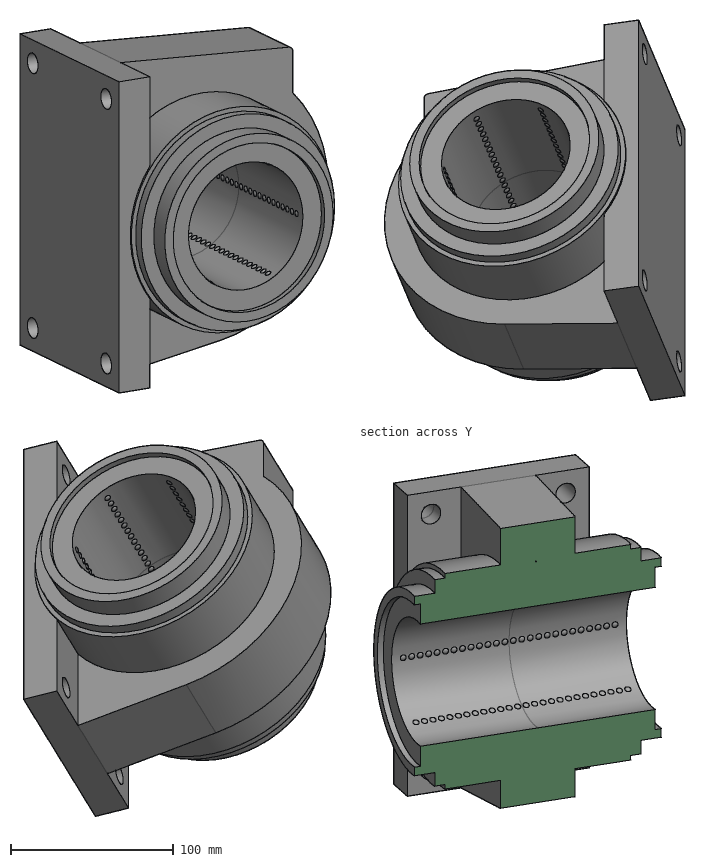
import cadquery as cq
import math

PLATE_HEIGHT = 200.0
PLATE_WIDTH = 121.5
PLATE_THICKNESS = 22.0
BOLT_SPACING_X = 90.0
BOLT_SPACING_Z = 170.0
BOLT_DIAMETER = 13.0

AXIS_TO_MOUNTING_FACE = 80.0
MOUNTING_FACE_Y = -AXIS_TO_MOUNTING_FACE
PLATE_BACK_Y = MOUNTING_FACE_Y + PLATE_THICKNESS

WEB_WIDTH = 50.0
WEB_RADIUS = 90.0
SHOULDER_Y = 64.8
SHOULDER_Z = 92.0
SHOULDER_FILLET = 3.0

HUB_RADIUS = 72.0
HUB_LENGTH = 124.5
COLLAR_RADIUS = 69.0
COLLAR_LENGTH = 138.0
SLEEVE_RADIUS = 60.0
SLEEVE_LENGTH = 165.0

BUSHING_RADIUS = 54.0
BUSHING_RECESS = 4.0
BUSHING_LENGTH = SLEEVE_LENGTH - 2 * BUSHING_RECESS
BORE_RADIUS = 40.8
SHAFT_RADIUS = 40.0
BALL_RADIUS = 2.8
BALL_ROW_SPAN = 141.5
BALLS_PER_ROW = 26
BALL_ROWS = 6


def x_cylinder(radius, length):
    """Cylinder on the bore axis, centred on the origin."""
    return cq.Workplane("YZ").circle(radius).extrude(length / 2, both=True)


def make_plate():
    plate_centre_y = MOUNTING_FACE_Y + PLATE_THICKNESS / 2
    plate = cq.Workplane("XY").box(PLATE_WIDTH, PLATE_THICKNESS, PLATE_HEIGHT)
    holes = (
        cq.Workplane("XZ")
        .rect(BOLT_SPACING_X, BOLT_SPACING_Z, forConstruction=True)
        .vertices()
        .circle(BOLT_DIAMETER / 2)
        .extrude(PLATE_THICKNESS, both=True)
    )
    return plate.cut(holes).translate((0, plate_centre_y, 0))


def make_web():
    half_height = PLATE_HEIGHT / 2
    notch_z = math.sqrt(WEB_RADIUS**2 - SHOULDER_Y**2)

    corner_distance = math.hypot(PLATE_BACK_Y, half_height)
    corner_angle = math.atan2(-half_height, PLATE_BACK_Y)
    tangent_angle = corner_angle + math.acos(WEB_RADIUS / corner_distance)
    tangent_y = WEB_RADIUS * math.cos(tangent_angle)
    tangent_z = WEB_RADIUS * math.sin(tangent_angle)

    return (
        cq.Workplane("YZ")
        .moveTo(PLATE_BACK_Y, -half_height)
        .lineTo(tangent_y, tangent_z)
        .threePointArc((WEB_RADIUS, 0), (SHOULDER_Y, notch_z))
        .lineTo(SHOULDER_Y, SHOULDER_Z)
        .lineTo(PLATE_BACK_Y, half_height)
        .close()
        .extrude(WEB_WIDTH / 2, both=True)
        .edges(cq.selectors.NearestToPointSelector((0, SHOULDER_Y, SHOULDER_Z)))
        .fillet(SHOULDER_FILLET)
    )


def make_housing():
    hub = x_cylinder(HUB_RADIUS, HUB_LENGTH)
    collar = x_cylinder(COLLAR_RADIUS, COLLAR_LENGTH)
    sleeve = x_cylinder(SLEEVE_RADIUS, SLEEVE_LENGTH)
    return hub.union(collar).union(sleeve)


def cut_bore(body):
    """Open the bore and sink the bushing faces below the sleeve ends."""
    bushing = x_cylinder(BUSHING_RADIUS, BUSHING_LENGTH)
    end_recesses = x_cylinder(BUSHING_RADIUS, SLEEVE_LENGTH).cut(bushing)
    return body.cut(x_cylinder(BORE_RADIUS, SLEEVE_LENGTH)).cut(end_recesses)


def make_balls():
    """Rows of balls that stand proud of the bore and touch the shaft circle."""
    centre_radius = SHAFT_RADIUS + BALL_RADIUS
    first_x = -BALL_ROW_SPAN / 2
    pitch = BALL_ROW_SPAN / (BALLS_PER_ROW - 1)
    balls = []
    for row in range(BALL_ROWS):
        angle = 2 * math.pi * row / BALL_ROWS
        y = centre_radius * math.cos(angle)
        z = centre_radius * math.sin(angle)
        for index in range(BALLS_PER_ROW):
            centre = cq.Vector(first_x + index * pitch, y, z)
            balls.append(cq.Solid.makeSphere(BALL_RADIUS, centre, cq.Vector(1, 0, 0), -90, 90, 360))
    return balls


body = make_plate().union(make_web()).union(make_housing())
body = cut_bore(body)
result = cq.Workplane(body.val().fuse(*make_balls()))